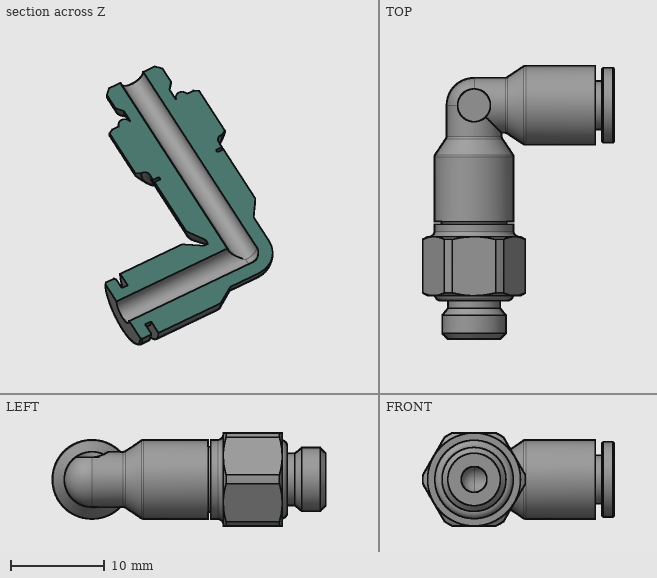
import cadquery as cq
import math


overall_length = 29.3

elbow_radius = 2.95
body_radius = 4.25
taper_start = 3.45
taper_end = 5.4
taper_blend = 0.45
bore_radius = 1.38

branch_end = 13.0
neck_radius = 2.6
neck_end = 13.68
collar_radius = 4.05
collar_end = 15.03
collar_chamfer = 0.18

groove_radius = 3.52
groove_start = 12.45
groove_end = 12.72

nut_across_flats = 10.0
nut_corner_radius = 5.5
nut_start = 14.05
nut_end = 20.4
nut_face_radius = 4.98
nut_chamfer_angle = 30.0
flare_radius = 0.6

seal_end = 20.95
seal_section_radius = 0.7
undercut_radius = 2.8
undercut_end = 21.75
thread_radius = 3.43
thread_start = 22.5
thread_chamfer = 0.62
stem_end = overall_length - body_radius

recess_radius = 1.75
recess_floor = 2.37


def along_stem(start, end, radius):
    """Cylinder on the stem axis between two distances from the elbow."""
    return cq.Workplane("XZ").workplane(offset=start).circle(radius).extrude(end - start)


def along_branch(start, end, radius):
    """Cylinder on the branch axis between two distances from the elbow."""
    return cq.Workplane("YZ").workplane(offset=start).circle(radius).extrude(end - start)


def tapered_body(end):
    """Elbow-sized tube widening to the body radius, turned about the X axis."""
    profile = (
        cq.Workplane("XY")
        .lineTo(0, elbow_radius)
        .lineTo(taper_start, elbow_radius)
        .lineTo(taper_end, body_radius)
        .lineTo(end, body_radius)
        .lineTo(end, 0)
        .close()
    )
    body = profile.revolve(360, (0, 0, 0), (1, 0, 0))
    shoulder_zone = cq.selectors.BoxSelector(
        (taper_start - taper_blend, -body_radius, -body_radius),
        (taper_end + taper_blend, body_radius, body_radius),
    )
    return body.edges(shoulder_zone).edges("%CIRCLE").fillet(taper_blend)


def branch():
    """Tapered body with the release collar standing off its end."""
    neck = along_branch(branch_end, neck_end, neck_radius)
    collar = along_branch(neck_end, collar_end, collar_radius).edges().chamfer(collar_chamfer)
    return tapered_body(branch_end).union(neck).union(collar)


def nut():
    """Hexagon with trimmed corners and conical chamfers at both ends."""
    across_corners = nut_across_flats / math.cos(math.pi / 6)
    length = nut_end - nut_start
    hexagon = cq.Workplane("XZ").workplane(offset=nut_start).polygon(6, across_corners).extrude(length)
    chamfer_width = nut_corner_radius - nut_face_radius
    chamfer_length = chamfer_width * math.tan(math.radians(nut_chamfer_angle))
    envelope = along_stem(nut_start, nut_end, nut_corner_radius)
    envelope = envelope.faces("<Y").chamfer(chamfer_length, chamfer_width)
    envelope = envelope.intersect(envelope.mirror("XZ", (0, -(nut_start + nut_end) / 2, 0)))
    return hexagon.intersect(envelope)


def spigot():
    """Swivel neck, flare behind the nut and threaded end, turned about the Y axis."""
    return (
        cq.Workplane("XY")
        .moveTo(0, -groove_start)
        .lineTo(groove_radius, -groove_start)
        .lineTo(groove_radius, -groove_end)
        .lineTo(body_radius, -groove_end)
        .lineTo(body_radius, -nut_start + flare_radius)
        .radiusArc((body_radius + flare_radius, -nut_start), -flare_radius)
        .lineTo(undercut_radius, -nut_start)
        .lineTo(undercut_radius, -undercut_end)
        .lineTo(thread_radius, -thread_start)
        .lineTo(thread_radius, -stem_end + thread_chamfer)
        .lineTo(thread_radius - thread_chamfer, -stem_end)
        .lineTo(0, -stem_end)
        .close()
        .revolve(360, (0, 0, 0), (0, 1, 0))
    )


def seal_ring():
    """O-ring around the undercut, pressed against the nut."""
    ring_radius = undercut_radius + seal_section_radius
    section = cq.Workplane("XY").center(ring_radius, seal_section_radius - seal_end).circle(seal_section_radius)
    return section.revolve(360, (-ring_radius, 0, 0), (-ring_radius, 1, 0))


def bore():
    """Passage through the spigot, round the elbow and out of the branch."""
    stem_bore = along_stem(0, stem_end, bore_radius)
    branch_bore = along_branch(0, collar_end, bore_radius)
    return stem_bore.union(branch_bore).union(cq.Workplane("XY").sphere(bore_radius))


def recess():
    """Round cutter that leaves a flat floor on the elbow."""
    return cq.Workplane("XY").workplane(offset=recess_floor).circle(recess_radius).extrude(elbow_radius)


stem = tapered_body(groove_start).rotate((0, 0, 0), (0, 0, 1), -90)
result = cq.Workplane("XY").sphere(elbow_radius).union(branch()).union(stem)
result = result.union(spigot()).union(nut()).union(seal_ring())
result = result.cut(bore()).cut(recess())